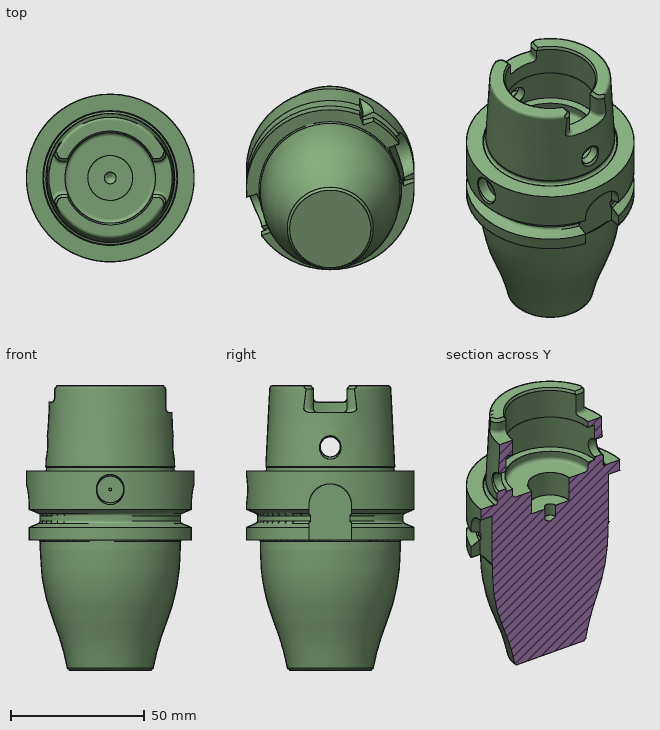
import cadquery as cq
import math

SHANK_HEIGHT = 32.0
FLANGE_HEIGHT = 26.0
TOTAL_HEIGHT = 106.9
BOTTOM_Z = SHANK_HEIGHT - TOTAL_HEIGHT

GAUGE_RADIUS = 24.005
GAUGE_Z = 6.3
TAPER_RATIO = 1 / 9.98
RIM_FILLET = 1.2
RIM_BEVEL_HEIGHT = RIM_FILLET
RIM_BEVEL_ANGLE = 40.0

RELIEF_TOP_Z = 1.7
RELIEF_NECK_Z = 1.2
RELIEF_NECK_RADIUS = 24.0
RELIEF_DEPTH = 0.4
RELIEF_CORNER_RADIUS = 1.0
RELIEF_OUTER_RADIUS = 25.3

FLANGE_RADIUS = 31.5
GROOVE_RADIUS = 27.4
GROOVE_MID_Z = -17.85
GROOVE_FLOOR_WIDTH = 3.2
GROOVE_MOUTH_WIDTH = 6.8
GROOVE_CORNER_RADIUS = 1.0

BODY_RADIUS = 26.3
BODY_FILLET = 0.5
BODY_STRAIGHT_END_Z = -29.8
WAIST_RADIUS = 21.1
WAIST_Z = -57.0
NOSE_RADIUS = 16.15
NOSE_CHAMFER = 0.9

BORE_RADIUS = 17.0
BORE_RIM_CHAMFER_WIDTH = 0.6
BORE_RIM_CHAMFER_HEIGHT = 1.0
BORE_FLOOR_Z = 0.0
BORE_FLOOR_FILLET = 1.5
RECESS_RADIUS = 20.0
RECESS_TOP_Z = 19.2
RECESS_BOTTOM_Z = 4.0
TUBE_HOLE_RADIUS = 8.45
TUBE_HOLE_DEPTH = 10.0
CENTRE_HOLE_RADIUS = 2.2
CENTRE_HOLE_DEPTH = 5.0

DRIVE_SLOT_WIDTH = 12.54
DRIVE_SLOT_FLOOR_FILLET = 1.5
DRIVE_SLOT_FLARE_RADIUS = 3.0
DRIVE_SLOT_FLARE_X = 17.9
SHALLOW_SLOT_DEPTH = 6.2
DEEP_SLOT_DEPTH = 10.1

CROSS_HOLE_RADIUS = 3.75
CROSS_HOLE_Z = 9.0
CROSS_HOLE_RIM_RADIUS = 4.4

KEYWAY_WIDTH = 16.0
KEYWAY_TOP_Z = -4.9
KEYWAY_FLOOR_X = 26.4
NOTCH_CENTRE_Y = 27.7
NOTCH_FLOOR_X = 20.4

CHIP_RADIUS = 5.0
CHIP_RIM_RADIUS = 5.65
CHIP_Z = -7.0
CHIP_DEPTH = 4.6
CHIP_CENTRE_MARK_RADIUS = 0.5

DRILL_POINT_ANGLE = 118.0
OVERRUN = 5.0


def shank_radius(z):
    """Outer radius of the tapered shank at height z."""
    return GAUGE_RADIUS - (z - GAUGE_Z) * TAPER_RATIO / 2


def drill_point_height(radius):
    return radius / math.tan(math.radians(DRILL_POINT_ANGLE / 2))


def revolve_about_z(profile):
    return profile.close().revolve(360, (0, 0, 0), (0, 1, 0))


def outer_body():
    """Shank, flange and body as one solid of revolution, with the V groove left out."""
    rim_start_z = SHANK_HEIGHT - RIM_FILLET
    rim_radius = shank_radius(rim_start_z)
    drop = BODY_STRAIGHT_END_Z - WAIST_Z
    inset = BODY_RADIUS - WAIST_RADIUS
    arc_radius = (drop ** 2 + inset ** 2) / (2 * inset)
    half_angle = math.asin(drop / arc_radius) / 2
    arc_mid = (
        BODY_RADIUS - arc_radius * (1 - math.cos(half_angle)),
        BODY_STRAIGHT_END_Z - arc_radius * math.sin(half_angle),
    )
    profile = (
        cq.Workplane("YZ")
        .moveTo(0, SHANK_HEIGHT)
        .lineTo(rim_radius - RIM_FILLET, SHANK_HEIGHT)
        .radiusArc((rim_radius, rim_start_z), RIM_FILLET)
        .lineTo(shank_radius(RELIEF_TOP_Z), RELIEF_TOP_Z)
        .lineTo(RELIEF_NECK_RADIUS, RELIEF_NECK_Z)
        .lineTo(RELIEF_NECK_RADIUS, RELIEF_CORNER_RADIUS - RELIEF_DEPTH)
        .radiusArc((RELIEF_NECK_RADIUS + RELIEF_CORNER_RADIUS, -RELIEF_DEPTH), -RELIEF_CORNER_RADIUS)
        .lineTo(RELIEF_OUTER_RADIUS, 0)
        .lineTo(FLANGE_RADIUS, 0)
        .lineTo(FLANGE_RADIUS, -FLANGE_HEIGHT)
        .lineTo(BODY_RADIUS + BODY_FILLET, -FLANGE_HEIGHT)
        .radiusArc((BODY_RADIUS, -FLANGE_HEIGHT - BODY_FILLET), -BODY_FILLET)
        .lineTo(BODY_RADIUS, BODY_STRAIGHT_END_Z)
        .threePointArc(arc_mid, (WAIST_RADIUS, WAIST_Z))
        .tangentArcPoint((NOSE_RADIUS, BOTTOM_Z + NOSE_CHAMFER), relative=False)
        .lineTo(NOSE_RADIUS - NOSE_CHAMFER, BOTTOM_Z)
        .lineTo(0, BOTTOM_Z)
    )
    return revolve_about_z(profile)


def gripper_groove():
    """Ring cutter with a V section, a flat floor and rounded floor corners."""
    half_mouth = GROOVE_MOUTH_WIDTH / 2
    half_floor = GROOVE_FLOOR_WIDTH / 2
    outside = FLANGE_RADIUS + OVERRUN
    flank_angle = math.atan2(half_mouth - half_floor, FLANGE_RADIUS - GROOVE_RADIUS)
    turn = math.pi / 2 - flank_angle
    tangent = GROOVE_CORNER_RADIUS * math.tan(turn / 2)
    flank_radius = GROOVE_RADIUS + tangent * math.cos(flank_angle)
    flank_height = half_floor + tangent * math.sin(flank_angle)
    floor_height = half_floor - tangent
    profile = (
        cq.Workplane("YZ")
        .moveTo(outside, GROOVE_MID_Z + half_mouth)
        .lineTo(FLANGE_RADIUS, GROOVE_MID_Z + half_mouth)
        .lineTo(flank_radius, GROOVE_MID_Z + flank_height)
        .radiusArc((GROOVE_RADIUS, GROOVE_MID_Z + floor_height), -GROOVE_CORNER_RADIUS)
        .lineTo(GROOVE_RADIUS, GROOVE_MID_Z - floor_height)
        .radiusArc((flank_radius, GROOVE_MID_Z - flank_height), -GROOVE_CORNER_RADIUS)
        .lineTo(FLANGE_RADIUS, GROOVE_MID_Z - half_mouth)
        .lineTo(outside, GROOVE_MID_Z - half_mouth)
    )
    return revolve_about_z(profile)


def shank_bore():
    """Clamping bore, its gripping recess, the coolant tube hole and the centre hole."""
    tube_floor_z = BORE_FLOOR_Z - TUBE_HOLE_DEPTH
    centre_floor_z = tube_floor_z - CENTRE_HOLE_DEPTH
    corner = BORE_FLOOR_FILLET
    profile = (
        cq.Workplane("YZ")
        .moveTo(0, SHANK_HEIGHT)
        .lineTo(BORE_RADIUS + BORE_RIM_CHAMFER_WIDTH, SHANK_HEIGHT)
        .lineTo(BORE_RADIUS, SHANK_HEIGHT - BORE_RIM_CHAMFER_HEIGHT)
        .lineTo(BORE_RADIUS, RECESS_TOP_Z)
        .lineTo(RECESS_RADIUS, RECESS_TOP_Z)
        .lineTo(RECESS_RADIUS, RECESS_BOTTOM_Z)
        .lineTo(BORE_RADIUS, RECESS_BOTTOM_Z)
        .lineTo(BORE_RADIUS, BORE_FLOOR_Z + corner)
        .radiusArc((BORE_RADIUS - corner, BORE_FLOOR_Z), corner)
        .lineTo(TUBE_HOLE_RADIUS, BORE_FLOOR_Z)
        .lineTo(TUBE_HOLE_RADIUS, tube_floor_z)
        .lineTo(CENTRE_HOLE_RADIUS, tube_floor_z)
        .lineTo(CENTRE_HOLE_RADIUS, centre_floor_z)
        .lineTo(0, centre_floor_z - drill_point_height(CENTRE_HOLE_RADIUS))
    )
    return revolve_about_z(profile)


def drive_slot_outline(side):
    """Plan outline of one drive slot, with walls that curve apart at the outer mouth."""
    half = DRIVE_SLOT_WIDTH / 2
    flare = DRIVE_SLOT_FLARE_RADIUS
    flare_x = DRIVE_SLOT_FLARE_X
    far_x = flare_x + flare + OVERRUN
    diagonal = flare * math.sqrt(0.5)
    return (
        cq.Workplane("XY")
        .moveTo(0, half)
        .lineTo(side * flare_x, half)
        .threePointArc(
            (side * (flare_x + diagonal), half + flare - diagonal),
            (side * (flare_x + flare), half + flare),
        )
        .lineTo(side * (flare_x + flare), half + flare + OVERRUN)
        .lineTo(side * far_x, half + flare + OVERRUN)
        .lineTo(side * far_x, -half - flare - OVERRUN)
        .lineTo(side * (flare_x + flare), -half - flare - OVERRUN)
        .lineTo(side * (flare_x + flare), -half - flare)
        .threePointArc(
            (side * (flare_x + diagonal), -half - flare + diagonal),
            (side * flare_x, -half),
        )
        .lineTo(0, -half)
        .close()
    )


def drive_slot(side, depth):
    """Slot cutter with rounded floor edges that bevels the rim along both walls."""
    slot = drive_slot_outline(side).extrude(depth).translate((0, 0, SHANK_HEIGHT - depth))
    slot = slot.faces("<Z").edges().fillet(DRIVE_SLOT_FLOOR_FILLET)
    bevel = drive_slot_outline(side).extrude(RIM_BEVEL_HEIGHT, taper=-RIM_BEVEL_ANGLE)
    return slot.union(bevel.translate((0, 0, SHANK_HEIGHT - RIM_BEVEL_HEIGHT)))


def countersunk_hole(radius, rim_radius, depth, surface):
    """Cutter along local -Z from a surface height, with a 45 degree countersink."""
    sink = rim_radius - radius
    profile = (
        cq.Workplane("YZ")
        .moveTo(0, surface + sink)
        .lineTo(rim_radius + sink, surface + sink)
        .lineTo(radius, surface - sink)
        .lineTo(radius, surface - depth)
        .lineTo(0, surface - depth)
    )
    return revolve_about_z(profile)


def cross_hole(side):
    """Countersunk hole through the shank wall on the +X or -X side."""
    surface = shank_radius(CROSS_HOLE_Z)
    depth = surface - BORE_RADIUS + OVERRUN
    hole = countersunk_hole(CROSS_HOLE_RADIUS, CROSS_HOLE_RIM_RADIUS, depth, surface)
    return hole.rotate((0, 0, 0), (0, 1, 0), side * 90).translate((0, 0, CROSS_HOLE_Z))


def chip_pocket():
    """Blind round pocket on -Y with a small conical centre mark in its floor."""
    pocket = countersunk_hole(CHIP_RADIUS, CHIP_RIM_RADIUS, CHIP_DEPTH, FLANGE_RADIUS)
    floor = FLANGE_RADIUS - CHIP_DEPTH
    mark_depth = drill_point_height(CHIP_CENTRE_MARK_RADIUS)
    mark = cq.Workplane(cq.Solid.makeCone(0, CHIP_CENTRE_MARK_RADIUS, mark_depth))
    pocket = pocket.union(mark.translate((0, 0, floor - mark_depth)))
    return pocket.rotate((0, 0, 0), (1, 0, 0), 90).translate((0, 0, CHIP_Z))


def arched_slot(side, centre_y, floor_x):
    """Cutter along X with an arched top, open to the bottom of the flange."""
    half = KEYWAY_WIDTH / 2
    reach = FLANGE_RADIUS + OVERRUN - floor_x
    arch_z = KEYWAY_TOP_Z - half
    profile = (
        cq.Workplane("YZ", origin=(side * floor_x, centre_y, 0))
        .moveTo(-half, -FLANGE_HEIGHT)
        .lineTo(-half, arch_z)
        .threePointArc((0, KEYWAY_TOP_Z), (half, arch_z))
        .lineTo(half, -FLANGE_HEIGHT)
        .close()
    )
    return profile.extrude(side * reach)


part = outer_body().cut(gripper_groove()).cut(shank_bore())
part = part.cut(drive_slot(-1, SHALLOW_SLOT_DEPTH)).cut(drive_slot(1, DEEP_SLOT_DEPTH))
for x_side in (-1, 1):
    part = part.cut(cross_hole(x_side))
    part = part.cut(arched_slot(x_side, 0, KEYWAY_FLOOR_X))
part = part.cut(arched_slot(-1, NOTCH_CENTRE_Y, NOTCH_FLOOR_X))
part = part.cut(chip_pocket())

result = cq.Workplane(part.solids().val())